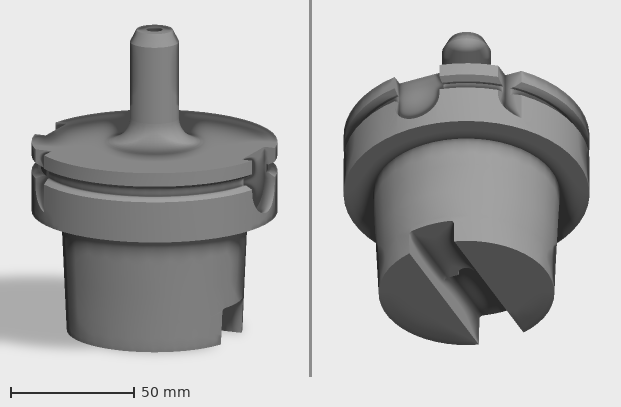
import cadquery as cq
import math

total_height = 126.2
flange_bottom = 50.0
flange_top = 79.1

taper_small_radius = 35.7
taper_large_radius = 38.0

flange_radius = 50.0
groove_root_radius = 46.2
groove_middle = 70.2
groove_root_width = 3.5
groove_mouth_width = 6.5
groove_flank_slope = math.radians(30)
groove_flank_depth = (groove_mouth_width - groove_root_width) / 2 / math.tan(groove_flank_slope)

pin_radius = 10.0
pin_tip_radius = 7.5
pin_tip_height = 5.0
pin_fillet = 10.0
bore_diameter = 6.5

keyway_floor_distance = 44.0
keyway_bottom = 54.8
narrow_keyway_width = 20.0
wide_keyway_width = 22.0

notch_wall = 31.5
notch_radius = narrow_keyway_width / 2

drive_slot_width = 20.0
shallow_slot_height = 10.2
deep_slot_height = 15.0
drive_slot_fillet = 1.5


def revolved_body():
    """Shank, grooved flange and pin as one revolved profile."""
    flank_radius = flange_radius - groove_flank_depth
    root_low = groove_middle - groove_root_width / 2
    root_high = groove_middle + groove_root_width / 2
    mouth_low = groove_middle - groove_mouth_width / 2
    mouth_high = groove_middle + groove_mouth_width / 2
    return (
        cq.Workplane("XZ")
        .lineTo(taper_small_radius, 0)
        .lineTo(taper_large_radius, flange_bottom)
        .lineTo(flange_radius, flange_bottom)
        .lineTo(flange_radius, mouth_low)
        .lineTo(flank_radius, root_low)
        .lineTo(groove_root_radius, root_low)
        .lineTo(groove_root_radius, root_high)
        .lineTo(flank_radius, root_high)
        .lineTo(flange_radius, mouth_high)
        .lineTo(flange_radius, flange_top)
        .lineTo(pin_radius + pin_fillet, flange_top)
        .radiusArc((pin_radius, flange_top + pin_fillet), pin_fillet)
        .lineTo(pin_radius, total_height - pin_tip_height)
        .lineTo(pin_tip_radius, total_height)
        .lineTo(0, total_height)
        .close()
        .revolve(360, (0, 0, 0), (0, 1, 0))
    )


def keyway_cutter(side, inner_distance, width, center_y=0):
    """Round-bottomed slot from inner_distance out past the rim, on side +1 or -1 of X."""
    radius = width / 2
    center_z = keyway_bottom + radius
    return (
        cq.Workplane("YZ", origin=(side * inner_distance, center_y, 0))
        .moveTo(-radius, flange_top)
        .lineTo(-radius, center_z)
        .threePointArc((0, keyway_bottom), (radius, center_z))
        .lineTo(radius, flange_top)
        .close()
        .extrude(side * (flange_radius - inner_distance + 1.3))
    )


def drive_slot_cutter(side, height):
    """Slot from the axis out through the shank wall, with rounded upper corners."""
    return (
        cq.Workplane("XY")
        .center(side * flange_radius / 2, 0)
        .box(flange_radius, drive_slot_width, height, centered=(True, True, False))
        .edges("|X and >Z")
        .fillet(drive_slot_fillet)
    )


bore = cq.Workplane("XY").circle(bore_diameter / 2).extrude(total_height)

cutters = [
    bore,
    keyway_cutter(-1, keyway_floor_distance, narrow_keyway_width),
    keyway_cutter(1, keyway_floor_distance, wide_keyway_width),
    keyway_cutter(-1, notch_wall, 2 * notch_radius, -notch_wall - notch_radius),
    drive_slot_cutter(-1, shallow_slot_height),
    drive_slot_cutter(1, deep_slot_height),
]

result = revolved_body()
for cutter in cutters:
    result = result.cut(cutter)